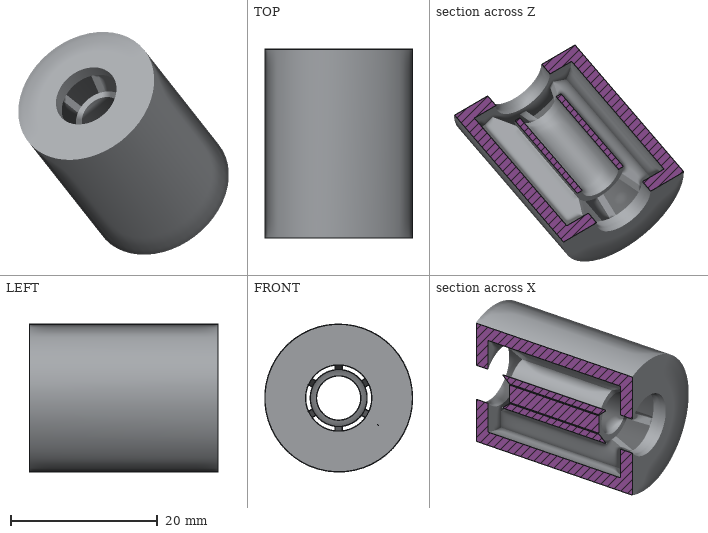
import cadquery as cq

length = 25.8
outer_diameter = 20.2
cavity_diameter = 16.2

end_wall = 2.0
opening_diameter = 9.0

hub_outer_diameter = 7.8
hub_bore_diameter = 6.0
hub_setback = 5.5

rib_count = 6
rib_thickness = 1.0
rib_end_radius = 5.55
wall_overlap = 0.25

half_length = length / 2
cavity_half_length = half_length - end_wall
hub_half_length = half_length - hub_setback
hub_outer_radius = hub_outer_diameter / 2
cavity_radius = cavity_diameter / 2


def cylinder(diameter, half_height):
    """Solid cylinder along Y, centred on the origin."""
    end_plane = cq.Workplane("XZ", origin=(0, half_height, 0))
    return end_plane.circle(diameter / 2).extrude(2 * half_height)


def make_shell():
    """Hollow roller body with an opening in each end wall."""
    body = cylinder(outer_diameter, half_length)
    body = body.cut(cylinder(cavity_diameter, cavity_half_length))
    return body.cut(cylinder(opening_diameter, half_length))


def make_rib():
    """Rib along +Z whose inner edge slopes outward from each hub end to the end wall."""
    slope_run = hub_setback - end_wall
    slope_rise = rib_end_radius - hub_outer_radius
    root_half_length = hub_half_length - wall_overlap * slope_run / slope_rise
    root_radius = hub_outer_radius - wall_overlap
    tip_radius = cavity_radius + wall_overlap
    profile = [
        (-root_half_length, root_radius),
        (-cavity_half_length, rib_end_radius),
        (-cavity_half_length, tip_radius),
        (cavity_half_length, tip_radius),
        (cavity_half_length, rib_end_radius),
        (root_half_length, root_radius),
    ]
    side_plane = cq.Workplane("YZ", origin=(-rib_thickness / 2, 0, 0))
    return side_plane.polyline(profile).close().extrude(rib_thickness)


result = make_shell().union(cylinder(hub_outer_diameter, hub_half_length))
rib = make_rib()
for index in range(rib_count):
    angle = index * 360 / rib_count
    result = result.union(rib.rotate((0, 0, 0), (0, 1, 0), angle))
result = result.cut(cylinder(hub_bore_diameter, half_length))